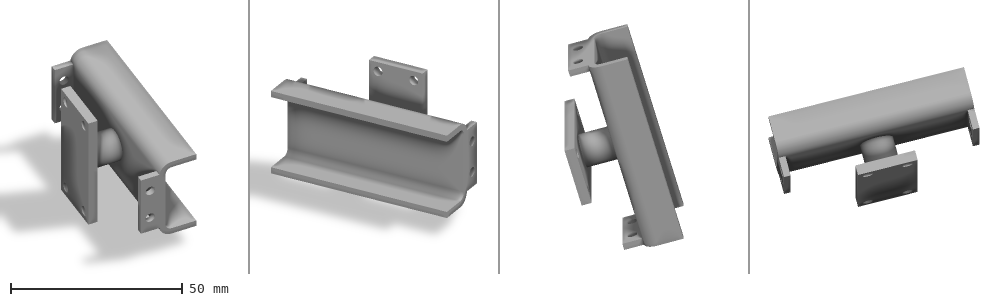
import cadquery as cq

length = 59.0
channel_height = 26.95
channel_depth = 12.0
sheet = 2.0
inner_bend_radius = sheet
outer_bend_radius = inner_bend_radius + sheet

tab_reach = 6.0
tab_height = 20.0
tab_hole_spacing = 10.05

post_diameter = 10.05
post_length = 10.05
plate_width = 18.0
plate_height = 38.0
plate_thickness = 3.0
plate_hole_spacing_x = 12.0
plate_hole_spacing_z = 32.0

hole_diameter = 3.0


def make_channel():
    """U-shaped sheet with rounded bends, open toward +Y."""
    outer = (
        cq.Workplane("XY")
        .box(length, channel_depth, channel_height, centered=(True, False, True))
        .edges("|X and <Y")
        .fillet(outer_bend_radius)
    )
    cavity = (
        cq.Workplane("XY")
        .box(length, channel_depth - sheet, channel_height - 2 * sheet, centered=(True, False, True))
        .edges("|X and <Y")
        .fillet(inner_bend_radius)
        .translate((0, sheet, 0))
    )
    return outer.cut(cavity)


def make_tab(side):
    """Tab on the web, flush with the channel end at -X (side = -1) or +X (side = 1)."""
    tab = cq.Workplane("XY").box(sheet, tab_reach, tab_height)
    holes = (
        cq.Workplane("YZ")
        .pushPoints([(0, -tab_hole_spacing / 2), (0, tab_hole_spacing / 2)])
        .circle(hole_diameter / 2)
        .extrude(sheet, both=True)
    )
    return tab.cut(holes).translate((side * (length - sheet) / 2, -tab_reach / 2, 0))


def make_mount():
    """Post standing on the web, with the four-hole plate at its -Y end."""
    post = cq.Workplane("XZ").circle(post_diameter / 2).extrude(post_length)
    plate = (
        cq.Workplane("XZ", origin=(0, -post_length, 0))
        .rect(plate_width, plate_height)
        .rarray(plate_hole_spacing_x, plate_hole_spacing_z, 2, 2)
        .circle(hole_diameter / 2)
        .extrude(plate_thickness)
    )
    return post.union(plate)


channel = make_channel()
tabs = [make_tab(side) for side in (-1, 1)]
mount = make_mount()

result = cq.Compound.makeCompound([channel.val(), *[tab.val() for tab in tabs], mount.val()])